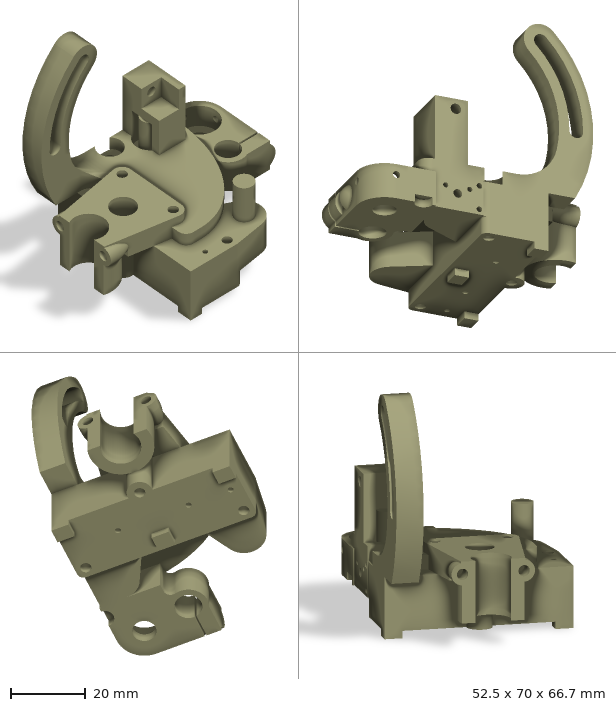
import cadquery as cq
import math


base_width = 52.0
mid_x = base_width / 2
base_back = 18.9
side_end_y = 17.1
plate_depth = 10.1
block_depth = 15.05
corner_radius = base_back - side_end_y
foot_height = 2.0
foot_length = 5.0
foot_width = 4.1
pivot_y = -0.5
nose_radius = 3.5
pivot_bore = 3.0
post_offset = 18.5
post_y = 26.4
post_diameter = 6.1
post_height = 11.8
lobe_radius = 6.0
valley_offset = 7.85
mount_hole = 3.0
mount_offset = 23.0
mount_y = 16.0
pin_hole = 1.6
pin_y = 8.5
pin_offset = 10.3
outer_pin_x = 48.6
left_post_x = mid_x - post_offset
left_mount_x = mid_x - mount_offset
side_drill_depth = 3.5

side_holes = [
    (post_y, -5.05, 2.5),
    (post_y + 3.5, -3.15, 1.5),
    (post_y - 3.5, -3.15, 1.5),
    (20.1, -1.6, 1.6),
    (20.1, -8.55, 1.6),
]

quadrant_thickness = 4.0
quadrant_front = 5.6
quadrant_corner = 2.8
ellipse_y = 11.2
ellipse_half_width = 36.5
ellipse_half_depth = 25.4
ellipse_x = 7.5
quadrant_back = ellipse_y + ellipse_half_depth
quadrant_right = ellipse_x + ellipse_half_width
arm_width = 7.5
arm_front_fillet = 4.5
arm_side_fillet = 3.0
mount_counterbore = 8.0
tower_width = 14.4
tower_front = 23.4
tower_back = 33.0
tower_height = 22.8
tower_notch_back = 30.5
tower_notch_floor = 15.95
post_pocket = 10.1
post_pocket_height = 12.95
hinge_y = 26.95
hinge_z = 19.9
hinge_hole = 3.0
arc_radius = 35.0
arm_half_width = 5.0
slot_width = 4.0
arm_end_angle = 135.0
arm_root_fillet = 12.0
tongue_front = -8.05

bracket_bottom = 2.95
bracket_top = 6.9
bracket_front = -15.55
bracket_front_half = 8.8
ear_offset = 10.0
ear_y = 8.5
ear_radius = 3.0
ear_hole = 3.1
pivot_clearance = 8.0
saddle_y = -13.0
saddle_bore = 11.0
saddle_radius = 8.95
lug_offset = 8.5
lug_z = 3.4
lug_radius = 3.0
lug_nose_radius = 1.75
lug_nose_bulge = 0.3
lug_hole = 3.1
lug_hole_depth = 5.6

clamp_left = -0.5
clamp_step_y = 32.9
clamp_back = 52.4
bearing_y = 44.4
bearing_bore = 6.5
bearing_seat = 12.0
bearing_seat_depth = 7.0
clamp_corner = 8.0
rod_x = 21.5
rod_y = 41.85
rod_bore = 7.5
rod_boss_radius = 5.5
neck_x = 17.4
neck_fillet = 2.0
clamp_right = 26.5
slit_x = 21.55
slit_width = 0.6
screw_y = 50.25
screw_radius = 4.2
dome_end_x = 14.4
set_screw = 2.0
set_screw_z = -3.1
notch_y = 36.5
notch_radius = 2.5
notch_height = 2.25


def cylinder(x, y, z, diameter, height):
    """Upright cylinder whose bottom centre is at x, y, z."""
    return cq.Workplane("XY", origin=(x, y, z)).circle(diameter / 2).extrude(height)


def box(x0, x1, y0, y1, z0, z1):
    """Block between two opposite corners."""
    return cq.Workplane("XY").box(x1 - x0, y1 - y0, z1 - z0, centered=False).translate((x0, y0, z0))


def tangent_point(px, py, cx, cy, radius, side):
    """Where a line from p touches a circle, on the left (side = 1) or right (side = -1)."""
    toward_p = math.atan2(py - cy, px - cx)
    swing = math.acos(radius / math.hypot(px - cx, py - cy))
    angle = toward_p - side * swing
    return (cx + radius * math.cos(angle), cy + radius * math.sin(angle))


def drill_side(body):
    """Blind holes in the left side, shared by the clamp and the base lobe behind it."""
    for y, z, diameter in side_holes:
        body = body.cut(cq.Workplane("YZ", origin=(0, y, z)).circle(diameter / 2).extrude(side_drill_depth))
    return body


def base_plan():
    """Plan of the base plate: a bar with a rounded lobe around each post."""
    right_x = mid_x + post_offset
    outer = tangent_point(base_width, side_end_y, right_x, post_y, lobe_radius, -1)
    inner = tangent_point(mid_x + valley_offset, base_back, right_x, post_y, lobe_radius, 1)

    def mirror(point):
        return (base_width - point[0], point[1])

    return (
        cq.Workplane("XY")
        .moveTo(0, 0)
        .lineTo(base_width, 0)
        .lineTo(base_width, side_end_y)
        .lineTo(*outer)
        .threePointArc((right_x, post_y + lobe_radius), inner)
        .lineTo(mid_x + valley_offset, base_back)
        .lineTo(mid_x - valley_offset, base_back)
        .lineTo(*mirror(inner))
        .threePointArc((left_post_x, post_y + lobe_radius), mirror(outer))
        .lineTo(0, side_end_y)
        .close()
    )


def make_base():
    body = base_plan().extrude(-plate_depth)
    lower = box(0, base_width, 0, base_back, -block_depth, -plate_depth)
    body = body.union(lower.edges("|Z and >Y").fillet(corner_radius))
    body = body.union(cylinder(mid_x, pivot_y, -block_depth, 2 * nose_radius, block_depth))

    foot_bottom = -block_depth - foot_height
    rear_foot_y = side_end_y - foot_width
    feet = [(0, 0), (base_width - foot_length, 0), (mid_x - foot_length / 2, rear_foot_y)]
    for x, y in feet:
        body = body.union(box(x, x + foot_length, y, y + foot_width, foot_bottom, -block_depth))

    body = drill_side(body)
    for side in (-1, 1):
        body = body.union(cylinder(mid_x + side * post_offset, post_y, -plate_depth,
                                   post_diameter, plate_depth + post_height))
        body = body.cut(cylinder(mid_x + side * mount_offset, mount_y, -block_depth, mount_hole, block_depth))

    for x in (mid_x - pin_offset, mid_x + pin_offset, outer_pin_x):
        body = body.cut(cylinder(x, pin_y, -block_depth, pin_hole, block_depth))
    return body.cut(cylinder(mid_x, pivot_y, -block_depth, pivot_bore, block_depth))


def bracket_plan():
    """Trapezoid with two rounded rear ears."""
    ear_x = mid_x + ear_offset
    touch_x, touch_y = tangent_point(mid_x + bracket_front_half, bracket_front, ear_x, ear_y, ear_radius, -1)
    back = ear_y + ear_radius
    diagonal = ear_radius * math.sqrt(0.5)
    return (
        cq.Workplane("XY")
        .moveTo(mid_x - bracket_front_half, bracket_front)
        .lineTo(mid_x + bracket_front_half, bracket_front)
        .lineTo(touch_x, touch_y)
        .threePointArc((ear_x + diagonal, ear_y + diagonal), (ear_x, back))
        .lineTo(mid_x - ear_offset, back)
        .threePointArc((mid_x - ear_offset - diagonal, ear_y + diagonal), (2 * mid_x - touch_x, touch_y))
        .close()
    )


def make_lug(x):
    """Screw lug along Y that tapers in a curve towards the rear."""
    rear = tongue_front
    bend_radius = (lug_radius + lug_nose_radius) / 2 + lug_nose_bulge
    lug = (
        cq.Workplane("XY")
        .moveTo(0, bracket_front)
        .lineTo(lug_radius, bracket_front)
        .lineTo(lug_radius, saddle_y)
        .threePointArc((bend_radius, (saddle_y + rear) / 2), (lug_nose_radius, rear))
        .lineTo(0, rear)
        .close()
        .revolve(360, (0, 0, 0), (0, 1, 0))
    )
    return lug.translate((x, 0, lug_z))


def make_bracket():
    body = bracket_plan().extrude(bracket_top - bracket_bottom).translate((0, 0, bracket_bottom))
    tongue = bracket_plan().extrude(bracket_bottom)
    body = body.union(tongue.intersect(
        box(0, base_width, tongue_front, quadrant_front, 0, bracket_bottom)))
    boss = cylinder(mid_x, saddle_y, -plate_depth, 2 * saddle_radius, plate_depth + bracket_bottom)
    body = body.union(boss.intersect(box(0, base_width, bracket_front, 0, -plate_depth, bracket_bottom)))
    for side in (-1, 1):
        body = body.union(make_lug(mid_x + side * lug_offset))
    for side in (-1, 1):
        screw = cq.Workplane("XZ", origin=(mid_x + side * lug_offset, bracket_front, lug_z))
        body = body.cut(screw.circle(lug_hole / 2).extrude(-lug_hole_depth))
        body = body.cut(cylinder(mid_x + side * ear_offset, ear_y, 0, ear_hole, bracket_top))
    body = body.cut(cylinder(mid_x, saddle_y, -plate_depth, saddle_bore, plate_depth + bracket_top))
    return body.cut(cylinder(mid_x, pivot_y, 0, pivot_clearance, bracket_top))


def on_arc(radius, angle):
    """Point in the YZ plane at a distance and angle about the hinge axis."""
    turn = math.radians(angle)
    return (hinge_y + radius * math.cos(turn), hinge_z + radius * math.sin(turn))


def past_arm_end(distance):
    """Point beyond the end of the arm's centre arc, along the direction of the arc there."""
    y, z = on_arc(arc_radius, arm_end_angle)
    turn = math.radians(arm_end_angle - 90)
    return (y + distance * math.cos(turn), z + distance * math.sin(turn))


def make_quadrant_plate():
    """Quarter-ellipse plate with rounded corners and a fillet against the arm."""
    plate = (
        cq.Workplane("XY")
        .moveTo(0, 0)
        .lineTo(arm_width, 0)
        .lineTo(arm_width, quadrant_front - arm_front_fillet)
        .radiusArc((arm_width + arm_front_fillet, quadrant_front), arm_front_fillet)
        .lineTo(quadrant_right - quadrant_corner, quadrant_front)
        .radiusArc((quadrant_right, quadrant_front + quadrant_corner), -quadrant_corner)
        .lineTo(quadrant_right, ellipse_y)
        .ellipseArc(ellipse_half_width, ellipse_half_depth, 0, 90, startAtCurrent=True)
        .lineTo(quadrant_corner, quadrant_back)
        .radiusArc((0, quadrant_back - quadrant_corner), -quadrant_corner)
        .close()
        .extrude(quadrant_thickness)
    )
    return plate.cut(bracket_plan().extrude(quadrant_thickness).translate((0, 0, bracket_bottom)))


def arm_blank(width):
    """Curved arm about the hinge axis, with a concave root fillet down to the plate."""
    inner = arc_radius - arm_half_width
    outer = arc_radius + arm_half_width
    foot_angle = 180 + math.degrees(math.asin(hinge_z / outer))

    fillet_z = quadrant_thickness + arm_root_fillet
    drop = hinge_z - fillet_z
    reach = inner - arm_root_fillet
    fillet_y = hinge_y - math.sqrt(reach ** 2 - drop ** 2)
    touch_angle = 180 + math.degrees(math.asin(drop / reach))
    root_turn = math.radians((touch_angle + 270) / 2)
    root_mid = (fillet_y + arm_root_fillet * math.cos(root_turn),
                fillet_z + arm_root_fillet * math.sin(root_turn))
    return (
        cq.Workplane("YZ")
        .moveTo(*on_arc(outer, foot_angle))
        .threePointArc(on_arc(outer, (arm_end_angle + foot_angle) / 2), on_arc(outer, arm_end_angle))
        .threePointArc(past_arm_end(arm_half_width), on_arc(inner, arm_end_angle))
        .threePointArc(on_arc(inner, (arm_end_angle + touch_angle) / 2), on_arc(inner, touch_angle))
        .threePointArc(root_mid, (fillet_y, quadrant_thickness))
        .lineTo(fillet_y, 0)
        .close()
        .extrude(width)
    )


def arm_ledge():
    """Concave fillet along the foot of the arm's right face, mitred into the root fillet."""
    ledge_x = arm_width + arm_side_fillet
    ledge_z = quadrant_thickness + arm_side_fillet
    relief_y = quadrant_front - arm_front_fillet
    ledge = (
        cq.Workplane("XZ")
        .moveTo(arm_width, 0)
        .lineTo(ledge_x, 0)
        .lineTo(ledge_x, quadrant_thickness)
        .radiusArc((arm_width, ledge_z), arm_side_fillet)
        .close()
        .extrude(-quadrant_back)
    )
    front_round = cylinder(arm_width + arm_front_fillet, relief_y, 0, 2 * arm_front_fillet, ledge_z)
    front_gap = box(arm_width, ledge_x, 0, relief_y, 0, ledge_z)
    return ledge.intersect(arm_blank(ledge_x)).cut(front_round).cut(front_gap)


def arm_slot():
    """Arc slot along the middle of the arm, with round ends."""
    half_slot = slot_width / 2
    inner = arc_radius - half_slot
    outer = arc_radius + half_slot
    mid_angle = (180 + arm_end_angle) / 2
    return (
        cq.Workplane("YZ")
        .moveTo(*on_arc(outer, 180))
        .threePointArc(on_arc(outer, mid_angle), on_arc(outer, arm_end_angle))
        .threePointArc(past_arm_end(half_slot), on_arc(inner, arm_end_angle))
        .threePointArc(on_arc(inner, mid_angle), on_arc(inner, 180))
        .threePointArc((hinge_y - arc_radius, hinge_z - half_slot), on_arc(outer, 180))
        .close()
        .extrude(arm_width)
    )


def make_arm():
    return arm_blank(arm_width).union(arm_ledge()).cut(arm_slot())


def make_tower():
    tower = box(0, tower_width, tower_front, tower_back, 0, tower_height)
    tower = tower.cut(box(arm_width, tower_width, tower_front, tower_notch_back,
                          tower_notch_floor, tower_height))
    hinge = cq.Workplane("YZ", origin=(0, hinge_y, hinge_z)).circle(hinge_hole / 2).extrude(tower_width)
    return tower.cut(hinge)


def make_quadrant():
    body = make_quadrant_plate().union(make_arm()).union(make_tower())
    body = body.cut(cylinder(left_post_x, post_y, 0, post_pocket, post_pocket_height))
    body = body.cut(cylinder(left_mount_x, mount_y, 0, mount_counterbore, quadrant_thickness))
    for side in (-1, 1):
        body = body.cut(cylinder(mid_x + side * pin_offset, pin_y, 0, pin_hole, quadrant_thickness))
    return body


def clamp_plan():
    """Plan of the clamp body: a rounded corner, and a boss joined by a concave neck."""
    lobe_back = post_y + lobe_radius
    neck_cx = neck_x + neck_fillet
    neck_cy = rod_y - math.sqrt((rod_boss_radius + neck_fillet) ** 2 - (rod_x - neck_cx) ** 2)
    reach = rod_boss_radius / (rod_boss_radius + neck_fillet)
    neck_end = (rod_x + (neck_cx - rod_x) * reach, rod_y + (neck_cy - rod_y) * reach)
    boss_end = (clamp_right, rod_y + math.sqrt(rod_boss_radius ** 2 - (clamp_right - rod_x) ** 2))
    boss_mid = (rod_x + rod_boss_radius * math.sqrt(0.5), rod_y - rod_boss_radius * math.sqrt(0.5))
    corner_y = clamp_back - clamp_corner
    return (
        cq.Workplane("XY")
        .moveTo(0, base_back)
        .lineTo(left_post_x, base_back)
        .lineTo(left_post_x, lobe_back)
        .lineTo(neck_x, lobe_back)
        .lineTo(neck_x, neck_cy)
        .radiusArc(neck_end, neck_fillet)
        .threePointArc(boss_mid, boss_end)
        .lineTo(clamp_right, clamp_back)
        .lineTo(clamp_left + clamp_corner, clamp_back)
        .radiusArc((clamp_left, corner_y), -clamp_corner)
        .lineTo(clamp_left, clamp_step_y)
        .lineTo(0, clamp_step_y)
        .close()
    )


def make_clamp():
    body = clamp_plan().extrude(-plate_depth)
    body = body.cut(base_plan().extrude(-plate_depth))

    screw_z = -plate_depth / 2
    bar = cq.Workplane("YZ", origin=(neck_x, screw_y, screw_z)).circle(screw_radius)
    body = body.union(bar.extrude(clamp_right - neck_x))
    dome = cq.Workplane("XY").sphere(screw_radius).translate((dome_end_x, screw_y, screw_z))
    dome_side = box(0, dome_end_x, screw_y, screw_y + screw_radius, -plate_depth, 0)
    body = body.union(dome.intersect(dome_side))

    body = body.cut(cylinder(left_post_x, bearing_y, -plate_depth, bearing_bore, plate_depth))
    body = body.cut(cylinder(left_post_x, bearing_y, -bearing_seat_depth, bearing_seat, bearing_seat_depth))
    body = body.cut(cylinder(rod_x, rod_y, -plate_depth, rod_bore, plate_depth))
    body = body.cut(box(slit_x, slit_x + slit_width, rod_y, screw_y + screw_radius, -plate_depth, 0))

    side_screw = cq.Workplane("YZ", origin=(clamp_left, bearing_y, set_screw_z)).circle(set_screw / 2)
    body = body.cut(side_screw.extrude(left_post_x - clamp_left))
    rear_screw = cq.Workplane("XZ", origin=(left_post_x, bearing_y, set_screw_z)).circle(set_screw / 2)
    body = body.cut(rear_screw.extrude(bearing_y - clamp_back))

    body = body.cut(cylinder(clamp_left, notch_y, -plate_depth, 2 * notch_radius, notch_height))
    return drill_side(body)


base = make_base()
quadrant = make_quadrant()
bracket = make_bracket()
clamp = make_clamp()

result = cq.Compound.makeCompound([base.val(), quadrant.val(), bracket.val(), clamp.val()])